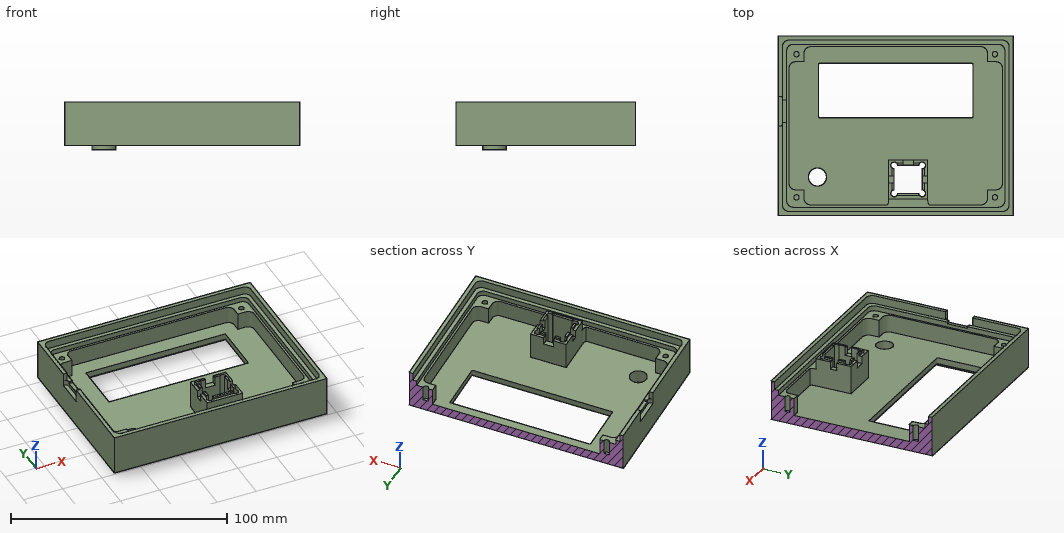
import cadquery as cq
import math

length = 108.7
width = 83.2
height = 20.2

corner_radius = 3.0
rim_wall = 2.0
rim_depth = 4.0
seal_wall = 3.9
ledge_depth = 6.5
cavity_wall = 5.0
floor_thickness = 5.0
post_size = 7.0
screw_hole_diameter = 2.5
screw_hole_inset = 8.5
screw_hole_depth = 7.6

window_length = 71.3
window_width = 25.0
window_center = (0, 16.3)
window_radius = 0.4
window_bevel = 2.0

spigot_center = (-36.2, -23.7)
spigot_diameter = 11.1
spigot_hole_diameter = 8.3
spigot_length = 2.0

housing_size = 18.0
housing_center = (5.8, -24.8)
housing_height = 14.1
lip_size = 15.1
lip_height = 1.0
shaft_size = 12.9
relief_diameter = 3.0
slot_depth = 4.7
side_slot_width = 3.3
back_slot_width = 4.9
flare_radius = corner_radius

notch_width = 13.8
notch_center_y = 6.7
notch_depth = 2.1
notch_radius = 1.2
sill_width = 10.2
sill_depth = 4.9

rim_z = height - rim_depth
ledge_z = height - ledge_depth


def box(size_x, size_y, bottom, top, center=(0, 0)):
    """Upright block between two Z levels."""
    return (
        cq.Workplane("XY", origin=(*center, bottom))
        .rect(size_x, size_y)
        .extrude(top - bottom)
    )


def cylinder(diameter, bottom, top, center):
    """Upright cylinder between two Z levels."""
    return (
        cq.Workplane("XY", origin=(*center, bottom))
        .circle(diameter / 2)
        .extrude(top - bottom)
    )


def rounded_box(size_x, size_y, bottom, top, radius, center=(0, 0)):
    """Upright block with rounded vertical edges."""
    return box(size_x, size_y, bottom, top, center).edges("|Z").fillet(radius)


def inset_pocket(wall, bottom, top):
    """Rounded pocket that leaves the given wall all round the case."""
    return rounded_box(length - 2 * wall, width - 2 * wall, bottom, top, corner_radius)


def make_tray():
    """Stepped tray with a screw post in each corner."""
    tray = box(length, width, 0, height)
    tray = tray.cut(inset_pocket(rim_wall, rim_z, height))
    tray = tray.cut(inset_pocket(seal_wall, ledge_z, rim_z))

    cavity_length = length - 2 * cavity_wall
    cavity_width = width - 2 * cavity_wall
    for size_x, size_y in (
        (cavity_length, cavity_width - 2 * post_size),
        (cavity_length - 2 * post_size, cavity_width),
    ):
        pocket = rounded_box(size_x, size_y, floor_thickness, ledge_z, corner_radius)
        tray = tray.cut(pocket)

    for side_x in (-1, 1):
        for side_y in (-1, 1):
            center = (
                side_x * (length / 2 - screw_hole_inset),
                side_y * (width / 2 - screw_hole_inset),
            )
            hole = cylinder(screw_hole_diameter, ledge_z - screw_hole_depth, ledge_z, center)
            tray = tray.cut(hole)
    return tray


def cut_window(tray):
    """Straight opening through the floor with a 45 degree bevel underneath."""
    opening = rounded_box(
        window_length, window_width, 0, floor_thickness, window_radius, window_center
    )
    bevel = (
        cq.Workplane("XY", origin=(*window_center, 0))
        .rect(window_length + 2 * window_bevel, window_width + 2 * window_bevel)
        .workplane(offset=window_bevel)
        .rect(window_length, window_width)
        .loft()
    )
    return tray.cut(opening).cut(bevel)


def add_spigot(tray):
    tray = tray.union(cylinder(spigot_diameter, -spigot_length, 0, spigot_center))
    bore = cylinder(spigot_hole_diameter, -spigot_length, floor_thickness, spigot_center)
    return tray.cut(bore)


def make_flared_web():
    """Web from the housing to the front wall, widening in two concave arcs."""
    half = housing_size / 2
    wall_y = seal_wall - width / 2
    arc_y = wall_y + flare_radius
    mid = flare_radius * (1 - math.sin(math.radians(45)))
    center_x, center_y = housing_center
    return (
        cq.Workplane("XY", origin=(0, 0, floor_thickness))
        .moveTo(center_x - half, center_y)
        .lineTo(center_x - half, arc_y)
        .threePointArc(
            (center_x - half - mid, wall_y + mid),
            (center_x - half - flare_radius, wall_y),
        )
        .lineTo(center_x + half + flare_radius, wall_y)
        .threePointArc(
            (center_x + half + mid, wall_y + mid),
            (center_x + half, arc_y),
        )
        .lineTo(center_x + half, center_y)
        .close()
        .extrude(ledge_z - floor_thickness)
    )


def add_switch_housing(tray):
    shoulder_z = floor_thickness + housing_height
    top_z = shoulder_z + lip_height
    center_x, center_y = housing_center
    tray = tray.union(make_flared_web())
    tray = tray.union(
        box(housing_size, housing_size, floor_thickness, shoulder_z, housing_center)
    )
    tray = tray.union(box(lip_size, lip_size, shoulder_z, top_z, housing_center))

    tray = tray.cut(box(shaft_size, shaft_size, 0, top_z, housing_center))
    for side_x in (-1, 1):
        for side_y in (-1, 1):
            corner = (
                center_x + side_x * shaft_size / 2,
                center_y + side_y * shaft_size / 2,
            )
            tray = tray.cut(cylinder(relief_diameter, 0, top_z, corner))

    slot_z = top_z - slot_depth
    tray = tray.cut(box(housing_size, side_slot_width, slot_z, top_z, housing_center))
    back_wall_center = (center_x, center_y + housing_size / 2)
    return tray.cut(box(back_slot_width, housing_size, slot_z, top_z, back_wall_center))


def cut_cable_notch(tray):
    outer_x = -length / 2
    tray = tray.cut(
        box(2 * rim_wall, notch_width, rim_z, height, (outer_x, notch_center_y))
    )
    tray = tray.cut(
        rounded_box(
            2 * notch_depth, notch_width, ledge_z, rim_z, notch_radius, (outer_x, notch_center_y)
        )
    )
    sill = box(
        2 * seal_wall, sill_width, height - sill_depth, rim_z, (outer_x, notch_center_y)
    )
    return tray.cut(sill)


result = make_tray()
result = cut_window(result)
result = add_spigot(result)
result = add_switch_housing(result)
result = cut_cable_notch(result)